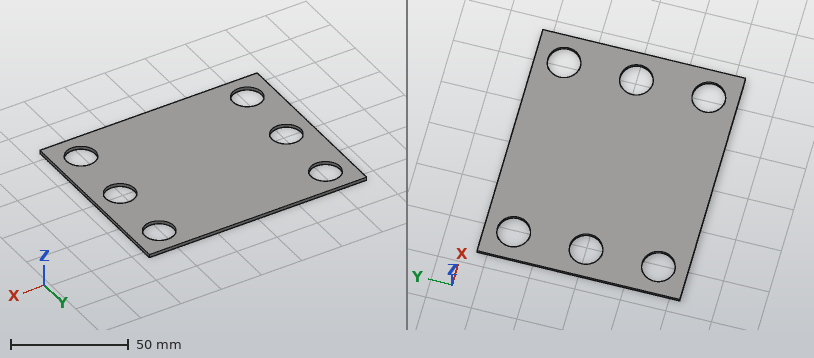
import cadquery as cq

length = 108.0
width = 89.0
thickness = 1.6

hole_diameter = 14.2
columns = 2
rows = 3
column_spacing = 82.6
row_spacing = 31.7

plate = cq.Workplane("XY").box(length, width, thickness)

result = (
    plate.faces(">Z")
    .workplane()
    .rarray(column_spacing, row_spacing, columns, rows)
    .circle(hole_diameter / 2)
    .cutThruAll()
)